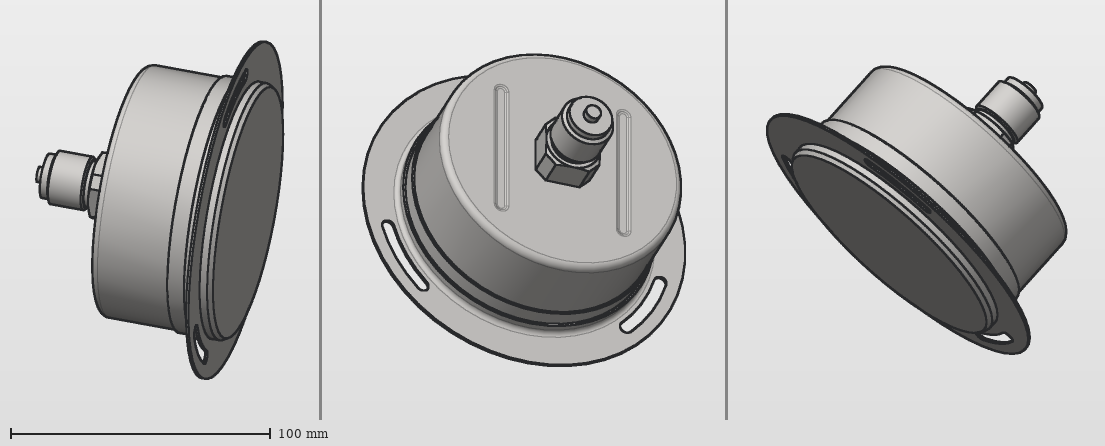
import cadquery as cq
import math


SHOULDER_X = 3.0
THREAD_START_X = 6.0
THREAD_END_X = 20.7
SQUARE_START_X = 23.0
CASE_BACK_X = 35.0
BEZEL_START_X = 66.0
FLANGE_SLEEVE_X = 73.0
FLANGE_PLATE_X = 78.0
FRONT_X = 83.99

TIP_D = 6.0
SHOULDER_D = 17.5
NECK_D = 18.0
THREAD_D = 21.0
THREAD_CHAMFER_LENGTH = 0.8
SQUARE_SIZE = 22.0
SQUARE_CORNER_CUT = 4.1
SQUARE_END_D = SQUARE_SIZE
SQUARE_END_CHAMFER_ANGLE = 20.0

CASE_D = 99.0
CASE_FILLET = 2.8
BEZEL_D = 100.8
BEZEL_CHAMFER_LENGTH = 2.0
BEZEL_CHAMFER_DEPTH = 1.2

GROOVE_OFFSET = 25.0
GROOVE_LENGTH = 59.2
GROOVE_WIDTH = 6.0
GROOVE_FLOOR_WIDTH = 2.8
GROOVE_DEPTH = 0.5

FLANGE_D = 132.0
PLATE_THICKNESS = 1.0
SLEEVE_OUTER_D = 103.0
SLEEVE_BORE_D = 101.0
FLARE_RADIUS = 2.0
SLOT_COUNT = 3
SLOT_CENTRE_RADIUS = 58.0
SLOT_WIDTH = 5.0
SLOT_HALF_ANGLE = 14.0


def disc(diameter, start_x, end_x):
    """Round bar on the X axis."""
    return cq.Workplane("YZ").workplane(offset=start_x).circle(diameter / 2).extrude(end_x - start_x)


def square_section():
    """Square with cut corners, its free end turned down to a cone."""
    length = CASE_BACK_X - SQUARE_START_X
    square = (
        cq.Workplane("YZ").workplane(offset=SQUARE_START_X)
        .rect(SQUARE_SIZE, SQUARE_SIZE).extrude(length)
        .edges("|X").chamfer(SQUARE_CORNER_CUT)
    )
    end_radius = SQUARE_END_D / 2
    cone_radius = end_radius + length / math.tan(math.radians(SQUARE_END_CHAMFER_ANGLE))
    cone = (
        cq.Workplane("XY")
        .moveTo(SQUARE_START_X, 0)
        .lineTo(SQUARE_START_X, end_radius)
        .lineTo(CASE_BACK_X, cone_radius)
        .lineTo(CASE_BACK_X, 0)
        .close()
        .revolve(360, (0, 0, 0), (1, 0, 0))
    )
    return square.intersect(cone)


def connector():
    """Centring tip, shoulder, thread, neck and spanner square."""
    lead_in_depth = (THREAD_D - SHOULDER_D) / 2
    thread = (
        disc(THREAD_D, THREAD_START_X, THREAD_END_X)
        .faces("<X").edges().chamfer(THREAD_CHAMFER_LENGTH, lead_in_depth)
        .faces(">X").edges().chamfer(THREAD_CHAMFER_LENGTH)
    )
    return (
        disc(TIP_D, 0, SHOULDER_X)
        .union(disc(SHOULDER_D, SHOULDER_X, THREAD_START_X))
        .union(thread)
        .union(disc(NECK_D, THREAD_END_X, SQUARE_START_X))
        .union(square_section())
    )


def groove_profile():
    """Half section of a groove, from its middle to its rim, on the XY plane."""
    floor = GROOVE_FLOOR_WIDTH / 2
    rim = GROOVE_WIDTH / 2
    middle = (floor + rim) / 2
    rim_x = CASE_BACK_X
    floor_x = CASE_BACK_X + GROOVE_DEPTH
    return (
        cq.Workplane("XY")
        .moveTo(rim_x, 0)
        .lineTo(floor_x, 0)
        .lineTo(floor_x, floor)
        .tangentArcPoint((rim_x + GROOVE_DEPTH / 2, middle), relative=False)
        .tangentArcPoint((rim_x, rim), relative=False)
        .close()
    )


def groove():
    """Vertical round-ended groove on the case axis, as a cutting body."""
    half_straight = (GROOVE_LENGTH - GROOVE_WIDTH) / 2
    half = groove_profile().extrude(half_straight, both=True)
    body = half.union(half.mirror("XZ"))
    end = groove_profile().revolve(360, (0, 0, 0), (1, 0, 0))
    for z in (-half_straight, half_straight):
        body = body.union(end.translate((0, 0, z)))
    return body


def gauge():
    """Case, bezel ring and connector in one piece."""
    case = disc(CASE_D, CASE_BACK_X, BEZEL_START_X).faces("<X").edges().fillet(CASE_FILLET)
    bezel = (
        disc(BEZEL_D, BEZEL_START_X, FRONT_X)
        .faces(">X").edges().chamfer(BEZEL_CHAMFER_LENGTH, BEZEL_CHAMFER_DEPTH)
    )
    body = case.union(bezel)
    for y in (-GROOVE_OFFSET, GROOVE_OFFSET):
        body = body.cut(groove().translate((0, y, 0)))
    return body.union(connector())


def flange_ring():
    """Plate and sleeve, with a concave flare between them."""
    plate_front_x = FLANGE_PLATE_X + PLATE_THICKNESS
    sleeve_radius = SLEEVE_OUTER_D / 2
    bore_radius = SLEEVE_BORE_D / 2
    return (
        cq.Workplane("XY")
        .moveTo(FLANGE_SLEEVE_X, bore_radius)
        .lineTo(FLANGE_SLEEVE_X, sleeve_radius)
        .lineTo(FLANGE_PLATE_X - FLARE_RADIUS, sleeve_radius)
        .tangentArcPoint((FLANGE_PLATE_X, sleeve_radius + FLARE_RADIUS), relative=False)
        .lineTo(FLANGE_PLATE_X, FLANGE_D / 2)
        .lineTo(plate_front_x, FLANGE_D / 2)
        .lineTo(plate_front_x, bore_radius)
        .close()
        .revolve(360, (0, 0, 0), (1, 0, 0))
    )


def flange_slot():
    """Curved slot with round ends, centred above the axis, as a cutting body."""
    def point(radius, angle):
        return (radius * math.sin(math.radians(angle)), radius * math.cos(math.radians(angle)))

    inner = SLOT_CENTRE_RADIUS - SLOT_WIDTH / 2
    outer = SLOT_CENTRE_RADIUS + SLOT_WIDTH / 2
    return (
        cq.Workplane("YZ").workplane(offset=FLANGE_PLATE_X)
        .moveTo(*point(outer, -SLOT_HALF_ANGLE))
        .threePointArc(point(outer, 0), point(outer, SLOT_HALF_ANGLE))
        .tangentArcPoint(point(inner, SLOT_HALF_ANGLE), relative=False)
        .threePointArc(point(inner, 0), point(inner, -SLOT_HALF_ANGLE))
        .tangentArcPoint(point(outer, -SLOT_HALF_ANGLE), relative=False)
        .close()
        .extrude(PLATE_THICKNESS)
    )


def mounting_flange():
    """Flange ring with its fixing slots."""
    flange = flange_ring()
    for i in range(SLOT_COUNT):
        angle = i * 360 / SLOT_COUNT
        flange = flange.cut(flange_slot().rotate((0, 0, 0), (1, 0, 0), angle))
    return flange


gauge_body = gauge()
flange_body = mounting_flange()

result = cq.Compound.makeCompound([gauge_body.val(), flange_body.val()])